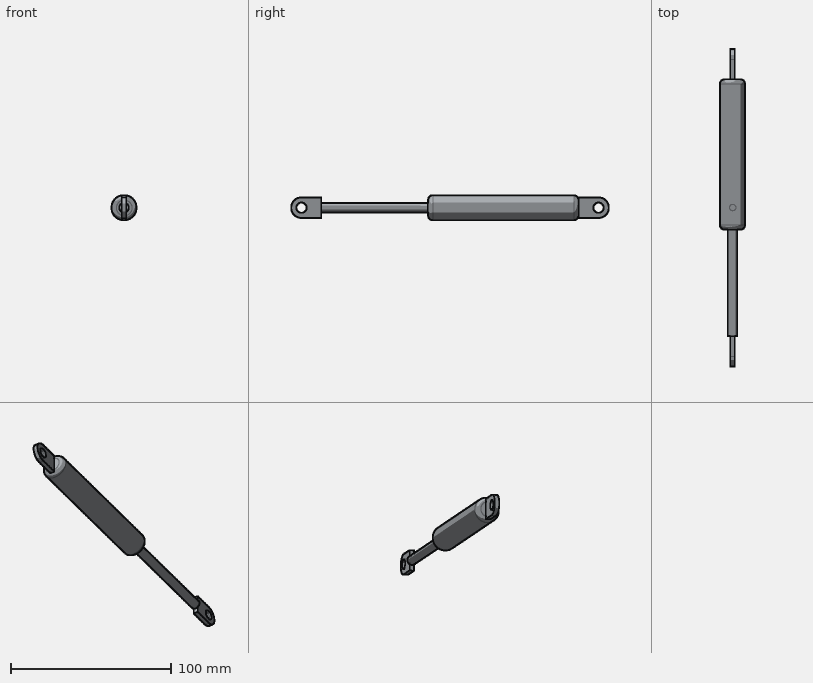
import cadquery as cq

overall_length = 198.5
rear_end_y = overall_length / 2
front_end_y = -overall_length / 2

eye_thickness = 3.0
eye_radius = 6.5
eye_hole_diameter = 6.3
eye_length = 19.0

cylinder_diameter = 15.8
cylinder_length = 94.0
cylinder_edge_radius = 3.0

mark_diameter = 4.0
mark_distance_from_front = 14.0

rod_diameter = 6.0

cylinder_rear_y = rear_end_y - eye_length
cylinder_front_y = cylinder_rear_y - cylinder_length
mark_y = cylinder_front_y + mark_distance_from_front
rod_front_y = front_end_y + eye_length


def make_bar(diameter, start_y, end_y):
    """Round bar along Y between two Y positions."""
    start_plane = cq.Workplane("XZ", origin=(0, start_y, 0))
    return start_plane.circle(diameter / 2).extrude(start_y - end_y)


def make_eye(base_y, direction):
    """Flat eye that starts at base_y and points along +Y (direction 1) or -Y (direction -1)."""
    hole_y = base_y + direction * (eye_length - eye_radius)
    tip_y = base_y + direction * eye_length
    plate = (
        cq.Workplane("YZ")
        .moveTo(base_y, -eye_radius)
        .lineTo(hole_y, -eye_radius)
        .threePointArc((tip_y, 0), (hole_y, eye_radius))
        .lineTo(base_y, eye_radius)
        .close()
        .extrude(eye_thickness / 2, both=True)
    )
    hole = (
        cq.Workplane("YZ")
        .center(hole_y, 0)
        .circle(eye_hole_diameter / 2)
        .extrude(eye_thickness, both=True)
    )
    return plate.cut(hole)


def add_flush_mark(body):
    """Split a round patch off the body's top surface without changing its volume."""
    mark_column = (
        cq.Workplane("XY", origin=(0, mark_y, 0))
        .circle(mark_diameter / 2)
        .extrude(cylinder_diameter)
    )
    mark_plug = body.intersect(mark_column)
    return body.cut(mark_column).union(mark_plug, clean=False)


cylinder = make_bar(cylinder_diameter, cylinder_rear_y, cylinder_front_y)
cylinder = cylinder.faces("<Y or >Y").edges().fillet(cylinder_edge_radius)
cylinder = cylinder.union(make_eye(cylinder_rear_y, 1))
cylinder = add_flush_mark(cylinder)

rod = make_bar(rod_diameter, cylinder_front_y, rod_front_y)
rod = rod.union(make_eye(rod_front_y, -1))

result = cq.Compound.makeCompound([cylinder.val(), rod.val()])